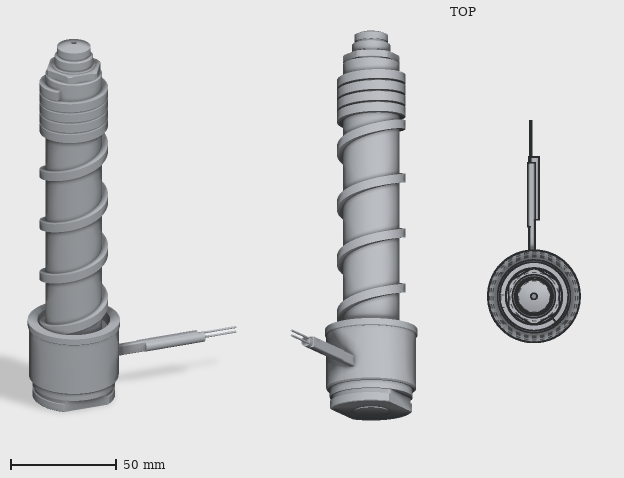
import cadquery as cq
import math

total_height = 186.3

foot_pad_radius = 8.0
foot_pad_height = 0.4
foot_radius = 19.7
foot_top = 4.5
foot_chamfer = 0.4
foot_across_flats = 31.7
groove_radius = 18.8
groove_top = 6.7
neck_radius = 19.7
neck_top = 10.5
housing_radius = 21.5
housing_chamfer = 0.7
lip_radius = 22.0
lip_bottom = 36.9
lip_chamfer = 0.4
lip_top = 40.2
recess_radius = 17.3
recess_floor = 27.5

tube_diameter = 27.0
tube_radius = tube_diameter / 2
tube_top = 170.5
tube_chamfer = 0.4
hex_across_flats = 24.0
hex_corner_radius = 13.5
hex_top = 174.4
hex_chamfer = 0.4
undercut_height = 0.5
undercut_radius = 11.5
collar_radius = 10.2
collar_height = 0.5
nose_radius = 9.1
nose_top = 180.0
relief_radius = 8.8
relief_height = 1.0
nose_chamfer = 0.4
tip_groove_radius = 7.5
tip_groove_height = 1.1
tip_radius = 8.0
tip_edge = 184.5
center_hole_radius = 1.5
center_hole_depth = 1.9

wire_width = 2.8
spring_radius = tube_radius + wire_width
wire_height = 4.3
spring_bite = 0.4
close_pitch = 5.4
open_pitch = 27.0
spring_top = 164.5
spring_start_angle = -49.5
top_close_turns = 4.13
blend_turns = 0.33
open_turns = 3.58
bottom_close_turns = 1.0
points_per_turn = 16

cable_z = 19.7
cable_height = 5.2
cable_fillet = 0.5
cable_left = -2.5
cable_right = 0.5
cable_start = 18.6
sleeve_left = -3.0
sleeve_right = 0.2
sleeve_start = 33.2
sleeve_end = 63.5
core_radius = 2.5
core_z = 19.5
core_start = 36.3
core_end = 66.3
lead_radius = 0.5
lead_x = -1.5
lead_spacing = 2.5
lead_end = 83.5


def cylinder(radius, bottom, top):
    return cq.Workplane("XY").workplane(offset=bottom).circle(radius).extrude(top - bottom)


def make_foot():
    pad = cylinder(foot_pad_radius, 0, foot_pad_height)
    disc = cylinder(foot_radius, foot_pad_height, foot_top).faces("<Z").chamfer(foot_chamfer)
    groove = cylinder(groove_radius, foot_top, groove_top)
    flats = cq.Workplane("XY").box(
        foot_across_flats, 2 * foot_radius, groove_top, centered=(True, True, False)
    )
    return disc.union(groove).intersect(flats).union(pad)


def make_housing():
    neck = cylinder(neck_radius, groove_top, neck_top)
    body = cylinder(housing_radius, neck_top, lip_top).faces("<Z").chamfer(housing_chamfer)
    lip = cylinder(lip_radius, lip_bottom, lip_top).faces("<Z").chamfer(lip_chamfer)
    recess = cylinder(recess_radius, recess_floor, lip_top)
    return neck.union(body).union(lip).cut(recess)


def make_tube():
    return cylinder(tube_radius, recess_floor, tube_top).faces(">Z").chamfer(tube_chamfer)


def make_hex_nut():
    hex_bottom = tube_top + undercut_height
    undercut = cylinder(undercut_radius, tube_top, hex_bottom)
    hexagon = (
        cq.Workplane("XY")
        .workplane(offset=hex_bottom)
        .polygon(6, hex_across_flats, circumscribed=True)
        .extrude(hex_top - hex_bottom)
    )
    corner_rounding = cylinder(hex_corner_radius, hex_bottom, hex_top).faces(">Z").chamfer(hex_chamfer)
    return undercut.union(hexagon.intersect(corner_rounding))


def make_nose():
    collar_top = hex_top + collar_height
    tip_bottom = nose_top + tip_groove_height
    relief_top = collar_top + relief_height
    collar = cylinder(collar_radius, hex_top, collar_top)
    relief = cylinder(relief_radius, collar_top, relief_top)
    nose = cylinder(nose_radius, relief_top, nose_top).faces(">Z").chamfer(nose_chamfer)
    tip_groove = cylinder(tip_groove_radius, nose_top, tip_bottom)
    crown_rise = total_height - tip_edge
    center_depth = (tip_radius**2 - center_hole_radius**2 - crown_rise**2) / (2 * crown_rise)
    crown_radius = math.hypot(tip_radius, center_depth)
    mid_radius = (tip_radius + center_hole_radius) / 2
    mid_height = tip_edge - center_depth + math.sqrt(crown_radius**2 - mid_radius**2)
    tip = (
        cq.Workplane("XZ")
        .moveTo(0, tip_bottom)
        .lineTo(tip_radius, tip_bottom)
        .lineTo(tip_radius, tip_edge)
        .threePointArc((mid_radius, mid_height), (center_hole_radius, total_height))
        .lineTo(0, total_height)
        .close()
        .revolve(360, (0, 0, 0), (0, 1, 0))
    )
    center_hole = cylinder(center_hole_radius, total_height - center_hole_depth, total_height)
    return collar.union(relief).union(nose).union(tip_groove).union(tip).cut(center_hole)


def spring_drop(turn):
    """Height lost after a number of turns; the pitch changes linearly in the blends."""
    pitch_change = open_pitch - close_pitch
    blend_1 = min(max(turn - top_close_turns, 0), blend_turns)
    opened = min(max(turn - top_close_turns - blend_turns, 0), open_turns)
    blend_2 = min(max(turn - top_close_turns - blend_turns - open_turns, 0), blend_turns)
    extra_1 = blend_1**2 / (2 * blend_turns)
    extra_2 = blend_2 - blend_2**2 / (2 * blend_turns)
    return close_pitch * turn + pitch_change * (extra_1 + opened + extra_2)


def spring_edge(radius, height_offset):
    """One edge of the wire: a curve of fixed radius that winds down around the tube."""
    turns = top_close_turns + 2 * blend_turns + open_turns + bottom_close_turns
    steps = math.ceil(turns * points_per_turn)
    points = []
    for step in range(steps + 1):
        turn = turns * step / steps
        angle = math.radians(spring_start_angle - 360 * turn)
        height = spring_top - spring_drop(turn) + height_offset
        points.append(cq.Vector(radius * math.cos(angle), radius * math.sin(angle), height))
    return cq.Edge.makeSpline(points)


def make_spring():
    """Rectangular wire, skinned between its four corner edges."""
    inner_radius = tube_radius - spring_bite
    half_height = wire_height / 2
    corners = (
        (inner_radius, -half_height),
        (spring_radius, -half_height),
        (spring_radius, half_height),
        (inner_radius, half_height),
    )
    edges = [spring_edge(radius, offset) for radius, offset in corners]
    faces = [cq.Face.makeRuledSurface(edges[i - 1], edges[i]) for i in range(len(edges))]
    for end in (0, 1):
        outline = cq.Wire.makePolygon([edge.positionAt(end) for edge in edges], close=True)
        faces.append(cq.Face.makeFromWires(outline))
    return cq.Workplane(cq.Solid.makeSolid(cq.Shell.makeShell(faces)))


def cable_box(left, right, start, end):
    box = cq.Workplane("XY").box(right - left, end - start, cable_height)
    center = ((left + right) / 2, (start + end) / 2, cable_z)
    return box.edges("|Y").fillet(cable_fillet).translate(center)


def cable_rod(x, z, radius, start, end):
    return cq.Workplane("XZ", origin=(x, start, z)).circle(radius).extrude(start - end)


def make_cable():
    cable = cable_box(cable_left, cable_right, cable_start, sleeve_end)
    cable = cable.union(cable_box(sleeve_left, sleeve_right, sleeve_start, sleeve_end))
    cable = cable.union(cable_rod(0, core_z, core_radius, core_start, core_end))
    for side in (-1, 1):
        lead_z = cable_z + side * lead_spacing / 2
        cable = cable.union(cable_rod(lead_x, lead_z, lead_radius, core_start, lead_end))
    return cable


result = (
    make_foot()
    .union(make_housing())
    .union(make_tube())
    .union(make_hex_nut())
    .union(make_nose())
    .union(make_cable())
    .union(make_spring())
)